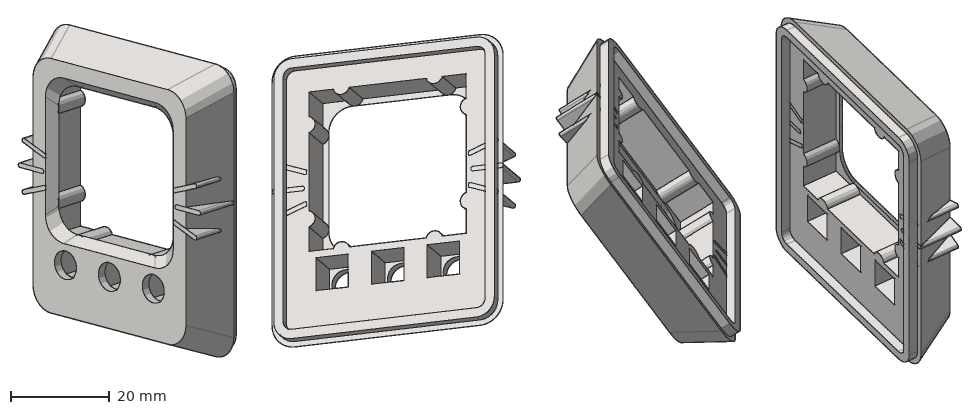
import cadquery as cq
import math


base_width = 50.0
base_height = 62.0
total_depth = 12.0
bezel_depth = 10.0
slope_inset = 4.0
corner_radius = 5.0

lip_inset = 1.2
lip_wall = 2.0

window_center_z = 6.0
window_size = 35.0
window_bevel = 1.85
plate_thickness = 2.0

cavity_size = 34.0
ridge_diameter = 3.6
ridge_wall_offset = 17.5
ridge_spread = 10.05

button_diameter = 6.0
button_pitch = 12.0
button_count = 3
button_z = -16.0
well_size = 7.0

whisker_length = 7.0
whisker_width = 1.0
whisker_angle = 20.0
whisker_center_z = 2.6
middle_tip_x = base_width / 2
outer_tip_x = 23.95
outer_tip_z_offset = 5.45


def plane_at(y, z=0.0):
    """Sketch plane facing -Y at depth y, with local axes along +X and +Z."""
    return cq.Workplane("XZ", origin=(0, y, z))


def block(width, height, start_y, depth, z=0.0):
    """Rectangular block running from start_y toward +Y."""
    return plane_at(start_y, z).rect(width, height).extrude(-depth)


def rounded_block(width, height, radius, start_y, depth):
    return block(width, height, start_y, depth).edges("|Y").fillet(radius)


def sloped_block(front_size, back_size, depth, z=0.0):
    """Solid between two rounded rectangles with equal corner radii."""
    front = cq.Sketch().rect(*front_size).vertices().fillet(corner_radius)
    back = cq.Sketch().rect(*back_size).vertices().fillet(corner_radius)
    back = back.moved(cq.Location(cq.Vector(0, 0, -depth)))
    return plane_at(0, z).placeSketch(front, back).loft(ruled=True)


def window_opening():
    back_size = window_size - 2 * window_bevel
    return sloped_block((window_size, window_size), (back_size, back_size), plate_thickness, window_center_z)


def ridges(depth):
    """Two ridge cylinders on each of the four cavity walls."""
    points = []
    for side in (-1, 1):
        for end in (-1, 1):
            points.append((side * ridge_wall_offset, end * ridge_spread))
            points.append((end * ridge_spread, side * ridge_wall_offset))
    centers = plane_at(plate_thickness, window_center_z).pushPoints(points)
    return centers.circle(ridge_diameter / 2).extrude(-depth)


def window_cavity():
    depth = bezel_depth - plate_thickness
    cavity = block(cavity_size, cavity_size, plate_thickness, depth, window_center_z)
    return cavity.cut(ridges(depth))


def button_openings():
    row = plane_at(0, button_z).rarray(button_pitch, 0.6, button_count, 1)
    holes = row.circle(button_diameter / 2).extrude(-plate_thickness)
    well_row = plane_at(plate_thickness, button_z).rarray(button_pitch, 0.6, button_count, 1)
    wells = well_row.rect(well_size, well_size).extrude(plate_thickness - bezel_depth)
    return holes.union(wells)


def make_frame():
    base_size = (base_width, base_height)
    front_size = (base_width - 2 * slope_inset, base_height - 2 * slope_inset)
    body = sloped_block(front_size, base_size, bezel_depth)

    lip_depth = total_depth - bezel_depth
    lip_width = base_width - 2 * lip_inset
    lip_height = base_height - 2 * lip_inset
    lip_radius = corner_radius - lip_inset
    lip = rounded_block(lip_width, lip_height, lip_radius, bezel_depth, lip_depth)
    recess = rounded_block(
        lip_width - 2 * lip_wall, lip_height - 2 * lip_wall, lip_radius - lip_wall, bezel_depth, lip_depth
    )
    body = body.union(lip.cut(recess))
    return body.cut(window_opening()).cut(window_cavity()).cut(button_openings())


def make_whisker(side, row):
    """One whisker: side is -1 or 1 along X, row is -1, 0 or 1 along Z."""
    tip_x = outer_tip_x if row else middle_tip_x
    end_center_x = tip_x - whisker_width / 2
    end_center_z = whisker_center_z + row * outer_tip_z_offset
    angle = math.radians(row * whisker_angle)
    half_span = (whisker_length - whisker_width) / 2
    center_x = end_center_x - half_span * math.cos(angle)
    center_z = end_center_z - half_span * math.sin(angle)
    bar = (
        plane_at(0)
        .center(side * center_x, center_z)
        .slot2D(whisker_length, whisker_width, side * row * whisker_angle)
        .extrude(-bezel_depth)
    )
    return bar.cut(block(window_size, window_size, 0, bezel_depth, window_center_z))


frame = make_frame()
whiskers = []
for side in (-1, 1):
    for row in (-1, 0, 1):
        whisker = make_whisker(side, row)
        frame = frame.cut(whisker)
        whiskers.append(whisker.val())

result = cq.Compound.makeCompound([frame.val(), *whiskers])